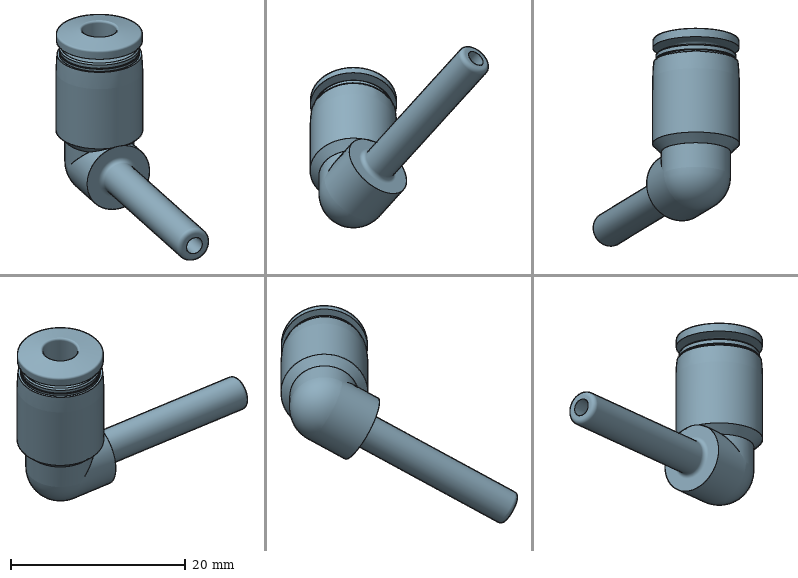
import cadquery as cq
import math

elbow_radius = 4.0
socket_radius = 10.0 / 2
elbow_face_x = socket_radius
stem_radius = 4.0 / 2
stem_end_x = 30 - socket_radius
stem_root_fillet = 0.5
stem_tip_fillet = 0.5

taper_bottom_z = 2.9
taper_top_z = 3.9
crown_bottom_z = 11.5
socket_top_z = 13.6
ring_top_z = 14.58
cap_bottom_z = 15.3
cap_top_z = 20.8 - elbow_radius

crown_top_radius = 4.85
crown_arc_radius = ((crown_bottom_z - socket_top_z) ** 2 + (socket_radius - crown_top_radius) ** 2) / (
    2 * (socket_radius - crown_top_radius)
)

ring_radius = 9.2 / 2
ring_chamfer = 0.18
groove_bottom_z = 13.85
groove_width = 0.1
groove_depth = 0.1

neck_radius = 5.4 / 2
neck_fillet = 0.35
cap_radius = 9.9 / 2
cap_rim_round = 0.25
mouth_radius = 2.25
cone_slope = math.radians(10)
cone_edge_radius = cap_radius - cap_rim_round * (1 - math.sin(cone_slope))
cone_edge_z = cap_top_z - (cone_edge_radius - mouth_radius) * math.tan(cone_slope)
cap_side_top_z = cone_edge_z - cap_rim_round * math.cos(cone_slope)

bore_radius = 4.0 / 2
bore_floor_z = 5.4
passage_radius = 2.0 / 2


def rod(radius, start, direction, length):
    return cq.Workplane(cq.Solid.makeCylinder(radius, length, cq.Vector(*start), cq.Vector(*direction)))


def make_elbow():
    ball = cq.Workplane("XY").sphere(elbow_radius)
    upright = rod(elbow_radius, (0, 0, 0), (0, 0, 1), taper_top_z)
    branch = rod(elbow_radius, (0, 0, 0), (1, 0, 0), elbow_face_x)
    return ball.union(upright).union(branch)


def make_stem():
    """Round stem with a concave flare at its root and a rounded tip."""
    profile = (
        cq.Workplane("XY")
        .lineTo(elbow_face_x, 0)
        .lineTo(elbow_face_x, stem_radius + stem_root_fillet)
        .radiusArc((elbow_face_x + stem_root_fillet, stem_radius), -stem_root_fillet)
        .lineTo(stem_end_x - stem_tip_fillet, stem_radius)
        .radiusArc((stem_end_x, stem_radius - stem_tip_fillet), stem_tip_fillet)
        .lineTo(stem_end_x, 0)
        .close()
    )
    return profile.revolve(360, (0, 0, 0), (1, 0, 0))


def make_socket():
    """Socket, guide ring and collet, turned about the vertical axis."""
    groove_top_z = groove_bottom_z + groove_width
    groove_radius = ring_radius - groove_depth
    profile = (
        cq.Workplane("XZ")
        .moveTo(0, taper_bottom_z)
        .lineTo(elbow_radius, taper_bottom_z)
        .lineTo(socket_radius, taper_top_z)
        .lineTo(socket_radius, crown_bottom_z)
        .radiusArc((crown_top_radius, socket_top_z), -crown_arc_radius)
        .lineTo(ring_radius, socket_top_z)
        .lineTo(ring_radius, groove_bottom_z)
        .lineTo(groove_radius, groove_bottom_z)
        .lineTo(groove_radius, groove_top_z)
        .lineTo(ring_radius, groove_top_z)
        .lineTo(ring_radius, ring_top_z - ring_chamfer)
        .lineTo(ring_radius - ring_chamfer, ring_top_z)
        .lineTo(neck_radius, ring_top_z)
        .lineTo(neck_radius, cap_bottom_z - neck_fillet)
        .radiusArc((neck_radius + neck_fillet, cap_bottom_z), neck_fillet)
        .lineTo(cap_radius, cap_bottom_z)
        .lineTo(cap_radius, cap_side_top_z)
        .radiusArc((cone_edge_radius, cone_edge_z), -cap_rim_round)
        .lineTo(mouth_radius, cap_top_z)
        .lineTo(0, cap_top_z)
        .close()
    )
    return profile.revolve(360, (0, 0, 0), (0, 1, 0))


def make_passages():
    """Tube bore with a rounded mouth, and the passage that turns into the stem."""
    mouth_round = mouth_radius - bore_radius
    bore_profile = (
        cq.Workplane("XZ")
        .moveTo(0, bore_floor_z)
        .lineTo(bore_radius, bore_floor_z)
        .lineTo(bore_radius, cap_top_z - mouth_round)
        .radiusArc((mouth_radius, cap_top_z), mouth_round)
        .lineTo(0, cap_top_z)
        .close()
    )
    bore = bore_profile.revolve(360, (0, 0, 0), (0, 1, 0))
    drop = rod(passage_radius, (0, 0, 0), (0, 0, 1), bore_floor_z)
    outlet = rod(passage_radius, (0, 0, 0), (1, 0, 0), stem_end_x)
    bend = cq.Workplane("XY").sphere(passage_radius)
    return bore.union(drop).union(outlet).union(bend)


result = make_elbow().union(make_stem()).union(make_socket()).cut(make_passages())